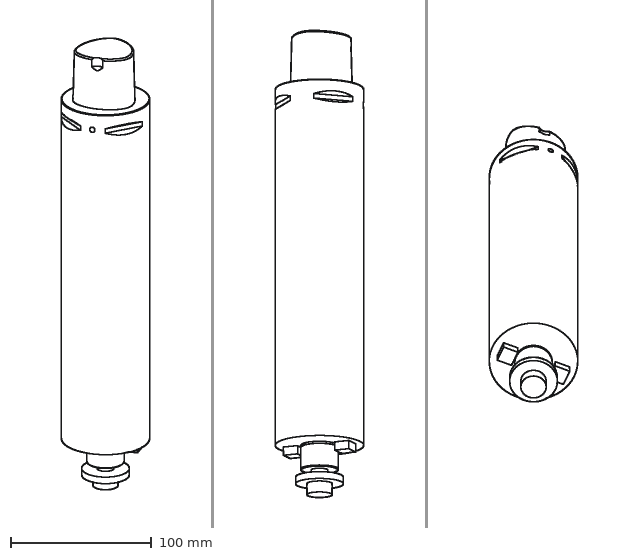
import cadquery as cq
import math


body_diameter = 63.0
body_length = 260.0
shoulder_chamfer = 0.5
body_radius = body_diameter / 2

shank_length = 38.0
shank_base_width = 44.2
shank_taper = 1 / 20
shank_lobe_height = 1.4
shank_top_chamfer = 1.15
shank_curve_points = 48

notch_diameter = 10.0
notch_wall_y = -17.5
notch_depth = 6.4
notch_point_angle = 90.0

groove_angles = (45, 135, 225, 315)
groove_center_z = -12.2
groove_floor_distance = 27.8
groove_floor_height = 3.3
groove_wall_angle = 32.0

mark_diameter = 4.0
mark_depth = 1.2
mark_z = -11.8

pilot_diameter = 27.0
pilot_length = 18.0
pilot_chamfer = 0.6
relief_diameter = 26.4
relief_height = 1.5
key_width = 11.7
key_height = 6.0
key_inner_x = 14.5
key_outer_x = 25.5
screw_neck_diameter = 12.0
screw_neck_length = 5.0
washer_diameter = 34.0
washer_thickness = 5.0
screw_head_diameter = 18.0
screw_head_length = 8.0

body_bottom_z = -body_length
pilot_bottom_z = body_bottom_z - pilot_length
washer_top_z = pilot_bottom_z - screw_neck_length
washer_bottom_z = washer_top_z - washer_thickness


def disc(diameter, top_z, height):
    """Cylinder on the Z axis hanging down from top_z."""
    return cq.Workplane("XY").workplane(offset=top_z).circle(diameter / 2).extrude(-height)


def shank_point(mean_radius, turn):
    """Point on a curve of constant width with support distance mean_radius - lobe * sin(3 * angle)."""
    angle = 2 * math.pi * turn
    support = mean_radius - shank_lobe_height * math.sin(3 * angle)
    slope = -3 * shank_lobe_height * math.cos(3 * angle)
    x = support * math.cos(angle) - slope * math.sin(angle)
    y = support * math.sin(angle) + slope * math.cos(angle)
    return x, y


def make_shank():
    base_radius = shank_base_width / 2
    top_radius = base_radius - shank_taper * shank_length / 2
    turns = [i / shank_curve_points for i in range(shank_curve_points)]
    base_points = [shank_point(base_radius, turn) for turn in turns]
    top_points = [shank_point(top_radius, turn) for turn in turns]
    shank = (
        cq.Workplane("XY")
        .spline(base_points, periodic=True)
        .close()
        .workplane(offset=shank_length)
        .spline(top_points, periodic=True)
        .close()
        .loft(ruled=True)
    )
    return shank.faces(">Z").chamfer(shank_top_chamfer)


def make_notch():
    radius = notch_diameter / 2
    point_height = radius / math.tan(math.radians(notch_point_angle / 2))
    wall_end_z = shank_length - notch_depth
    drill_profile = [
        (0, shank_length),
        (radius, shank_length),
        (radius, wall_end_z),
        (0, wall_end_z - point_height),
    ]
    drill = cq.Workplane("XZ").polyline(drill_profile).close().revolve(360, (0, 0), (0, 1))
    return drill.translate((0, notch_wall_y - radius, 0))


def make_groove(angle):
    """Straight trough cut along a chord of the body, facing the given direction."""
    depth = body_radius - groove_floor_distance
    floor_half = groove_floor_height / 2
    mouth_half = floor_half + depth * math.tan(math.radians(groove_wall_angle))
    section = [
        (groove_floor_distance, groove_center_z - floor_half),
        (body_radius, groove_center_z - mouth_half),
        (body_radius, groove_center_z + mouth_half),
        (groove_floor_distance, groove_center_z + floor_half),
    ]
    trough = cq.Workplane("XZ").polyline(section).close().extrude(body_radius, both=True)
    return trough.rotate((0, 0, 0), (0, 0, 1), angle)


def make_mark():
    """Cone with its base tangent to the body and its tip pointing at the axis."""
    cone = cq.Solid.makeCone(
        mark_diameter / 2,
        0,
        mark_depth,
        pnt=cq.Vector(0, -body_radius, mark_z),
        dir=cq.Vector(0, 1, 0),
    )
    return cq.Workplane(cone)


def make_body():
    body = disc(body_diameter, 0, body_length).faces(">Z").chamfer(shoulder_chamfer)
    for angle in groove_angles:
        body = body.cut(make_groove(angle))
    return body.cut(make_mark())


def make_pilot():
    relief = disc(relief_diameter, body_bottom_z, relief_height)
    land = disc(pilot_diameter, body_bottom_z - relief_height, pilot_length - relief_height)
    return relief.union(land.faces("<Z").chamfer(pilot_chamfer))


def make_key(side):
    """Drive key on the end face; side is +1 for +X and -1 for -X."""
    center_x = side * (key_inner_x + key_outer_x) / 2
    plane = cq.Workplane("XY", origin=(center_x, 0, body_bottom_z))
    return plane.rect(key_outer_x - key_inner_x, key_width).extrude(-key_height)


def make_screw():
    neck = disc(screw_neck_diameter, pilot_bottom_z, screw_neck_length)
    washer = disc(washer_diameter, washer_top_z, washer_thickness)
    head = disc(screw_head_diameter, washer_bottom_z, screw_head_length)
    return neck.union(washer).union(head)


shank = make_shank().cut(make_notch())
result = make_body().union(shank).union(make_pilot()).union(make_screw())
for side in (1, -1):
    result = result.union(make_key(side))